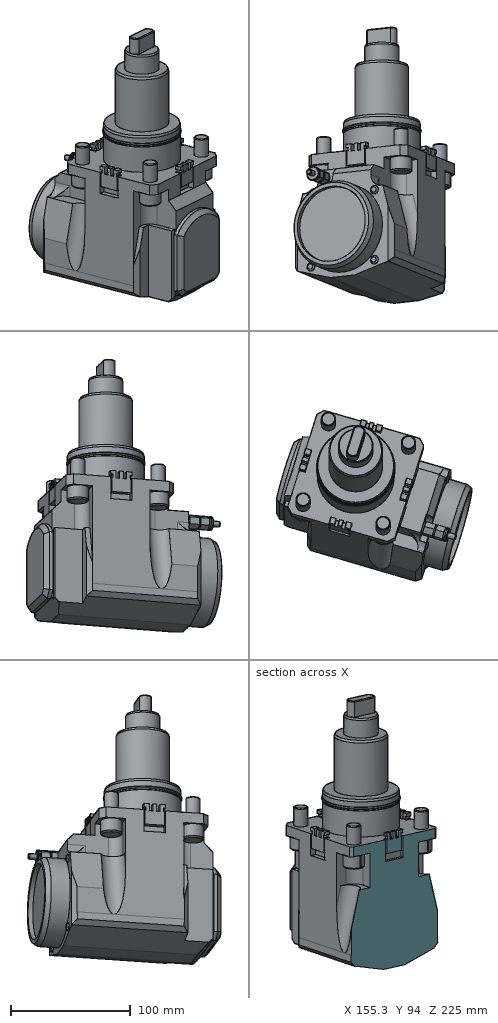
import cadquery as cq
import math

REACH = 200.0

SHANK_STEPS = [
    (32.3, 32.5, 2.0, 0.7),
    (22.5, 81.0, 2.0, 1.0),
    (14.5, 98.0, 1.7, 0.7),
]
TANG_TOP = 112.0
TANG_THICK = 10.0
TANG_HALF_WIDTH = 13.6
TANG_FLAT_HALF_WIDTH = 10.8
TANG_CHAMFER = 0.8
SEAL_RADIUS = 33.0
SEAL_Z = 24.8
SEAL_GROOVE_BOTTOM = 22.6
SEAL_GROOVE_TOP = 25.7
SEAL_GROOVE_DEPTH = 0.6

FLANGE_HALF = 46.75
FLANGE_CORNER = 5.0
FLANGE_THICK = 9.0
SCREW_X = 35.0
SCREW_Y = 36.5
SCREW_RADIUS = 6.0
SCREW_TOP = 16.0
SCREW_CHAMFER = 0.8
SCREW_HEAD_RADIUS = 9.1
SCREW_HEAD_BOTTOM = -20.7
SCREW_HEAD_CHAMFER = 1.2

KEY_SLOT_WIDTH = 18.4
KEY_SLOT_DEPTH = 5.2
KEY_SLOT_BOTTOM = -19.0
KEY_WIDTH = 16.6
KEY_BOTTOM = -12.7
KEY_TOP = 5.5
KEY_HEAD_UNDERSIDE = 2.5
KEY_NECK_WIDTH = 15.0
KEY_NOTCH_WIDTH = 2.9
KEY_NOTCH_OFFSET = 3.1
KEY_NOTCH_BOTTOM = -0.6

BOTTOM = -113.0
BACK_X = -70.5
FRONT_X = 54.5
SHELF_Z = -19.0
BACK_TOP_CHAMFER = 5.4
FRONT_TOP_CHAMFER = FRONT_X - FLANGE_HALF
FRONT_BOTTOM_CHAMFER = 10.0
HOUSING_HALF = 47.0
SIDE_LIP_Z = -94.0
SIDE_CHAMFER = 4.2
LOWER_CORNER_Z = -104.4
KEEL_HALF = 11.5
WIDE_END_X = 29.3
NARROW_HALF = 31.0
NARROW_END_X = 53.3
NECK_HALF = 26.5

POCKET_WALL_X = 25.0
POCKET_RADIUS = 10.0
POCKET_BACK_X = -65.0
BACK_POCKET_FLOOR = -38.6
FRONT_POCKET_FLOOR = -43.4
SLOPE_ANGLE = 15.0
BACK_SLOPE_TOP_Y = 37.85
FRONT_SLOPE_TOP_Y = 38.2
TROUGH_TOP_Y = 42.3

SPINDLE_Z = -72.0
CAP_RADIUS = 37.5
CAP_END_X = -91.0
CAP_CHAMFER_X = 4.3
CAP_CHAMFER_R = 2.2
CAP_RECESS_RADIUS = 32.0
CAP_RECESS_DEPTH = 4.0
CAP_SCREW_SPACING = 60.0
CAP_SCREW_RADIUS = 3.6
CAP_SCREW_HEIGHT = 1.6
CAP_SCREW_CHAMFER = 1.3
COVER_RADIUS = 38.6
COVER_HALF_WIDTH = 29.3
COVER_BOTTOM = -103.2
COVER_END_X = 61.7
COVER_CHAMFER = 4.0

NIPPLE_Y = 20.0
NIPPLE_Z = -26.0
NIPPLE_TIP_X = -93.6
NIPPLE_POCKET_RADIUS = 9.3
NIPPLE_POCKET_Y = 18.7
NIPPLE_POCKET_X = -64.6
NIPPLE_STEM_RADIUS = 2.4
NIPPLE_TIP_CHAMFER = 0.8
NIPPLE_NECK_RADIUS = 4.8
COLLAR_RADIUS = 5.9
COLLAR_START_X = -86.5
COLLAR_END_X = -84.6
COLLAR_CHAMFER = 0.6
HEX_FLATS = 10.4
HEX_CORNERS = HEX_FLATS / math.cos(math.pi / 6)
HEX_SPANS = [(-83.2, -75.8), (-74.6, -66.0)]


def box(x0, x1, y0, y1, z0, z1):
    return cq.Workplane("XY").box(x1 - x0, y1 - y0, z1 - z0, centered=False).translate((x0, y0, z0))


def x_cylinder(radius, x0, x1, y, z):
    return cq.Workplane("YZ", origin=(x0, y, z)).circle(radius).extrude(x1 - x0)


def z_cylinder(radius, z0, z1, x=0.0, y=0.0):
    return cq.Workplane("XY", origin=(x, y, z0)).circle(radius).extrude(z1 - z0)


def both_sides(solid):
    return solid.union(solid.mirror("XZ"))


def make_shank():
    """Stepped shank with a sealed collar at its foot and a flat drive tang on top."""
    collar_radius = SHANK_STEPS[0][0]
    shank = z_cylinder(collar_radius, -FLANGE_THICK, 0)
    base = 0.0
    for radius, top, chamfer_z, chamfer_r in SHANK_STEPS:
        step = z_cylinder(radius, base, top)
        step = step.faces(">Z").chamfer(chamfer_z, chamfer_r)
        shank = shank.union(step)
        base = top

    groove = z_cylinder(SEAL_RADIUS, SEAL_GROOVE_BOTTOM, SEAL_GROOVE_TOP)
    groove = groove.cut(z_cylinder(collar_radius - SEAL_GROOVE_DEPTH, SEAL_GROOVE_BOTTOM, SEAL_GROOVE_TOP))
    seal_section = SEAL_GROOVE_TOP - SEAL_Z
    seal = (
        cq.Workplane("XZ")
        .center(SEAL_RADIUS - seal_section, SEAL_Z)
        .circle(seal_section)
        .revolve(360, (seal_section - SEAL_RADIUS, 0), (seal_section - SEAL_RADIUS, 1))
    )
    tang = (
        cq.Workplane("XY", origin=(0, 0, base))
        .moveTo(-TANG_THICK / 2, -TANG_FLAT_HALF_WIDTH)
        .threePointArc((0, -TANG_HALF_WIDTH), (TANG_THICK / 2, -TANG_FLAT_HALF_WIDTH))
        .lineTo(TANG_THICK / 2, TANG_FLAT_HALF_WIDTH)
        .threePointArc((0, TANG_HALF_WIDTH), (-TANG_THICK / 2, TANG_FLAT_HALF_WIDTH))
        .close()
        .extrude(TANG_TOP - base)
        .faces(">Z")
        .chamfer(TANG_CHAMFER)
    )
    return shank.cut(groove).union(seal).union(tang)


def make_flange():
    flange = box(-FLANGE_HALF, FLANGE_HALF, -FLANGE_HALF, FLANGE_HALF, -FLANGE_THICK, 0)
    return flange.edges("|Z").chamfer(FLANGE_CORNER)


def make_screw(x, y):
    shaft = z_cylinder(SCREW_RADIUS, -FLANGE_THICK, SCREW_TOP, x, y).faces(">Z").chamfer(SCREW_CHAMFER)
    head = z_cylinder(SCREW_HEAD_RADIUS, SCREW_HEAD_BOTTOM, -FLANGE_THICK, x, y)
    return shaft.union(head.faces("<Z").chamfer(SCREW_HEAD_CHAMFER))


def make_side_profile():
    """Housing outline in the XZ plane, extruded to the full width."""
    return (
        cq.Workplane("XZ")
        .moveTo(BACK_X, BOTTOM)
        .lineTo(FRONT_X - FRONT_BOTTOM_CHAMFER, BOTTOM)
        .lineTo(FRONT_X, BOTTOM + FRONT_BOTTOM_CHAMFER)
        .lineTo(FRONT_X, SHELF_Z - FRONT_TOP_CHAMFER)
        .lineTo(FLANGE_HALF, SHELF_Z)
        .lineTo(FLANGE_HALF, -FLANGE_THICK)
        .lineTo(-FLANGE_HALF, -FLANGE_THICK)
        .lineTo(-FLANGE_HALF, SHELF_Z)
        .lineTo(BACK_X + BACK_TOP_CHAMFER, SHELF_Z)
        .lineTo(BACK_X, SHELF_Z - BACK_TOP_CHAMFER)
        .close()
        .extrude(HOUSING_HALF, both=True)
    )


def make_end_profile():
    """Housing outline in the YZ plane, extruded to the full length."""
    half = [
        (KEEL_HALF, BOTTOM),
        (HOUSING_HALF - SIDE_CHAMFER, LOWER_CORNER_Z),
        (HOUSING_HALF, LOWER_CORNER_Z + SIDE_CHAMFER),
        (FLANGE_HALF, SIDE_LIP_Z),
        (FLANGE_HALF, -FLANGE_THICK),
    ]
    mirrored = [(-y, z) for y, z in reversed(half)]
    return (
        cq.Workplane("YZ", origin=(BACK_X, 0, 0))
        .polyline(half + mirrored)
        .close()
        .extrude(FRONT_X - BACK_X)
    )


def make_plan_profile():
    """Wide rear body with chamfered corners, narrower front body, narrow front end."""
    wide = box(BACK_X, WIDE_END_X, -HOUSING_HALF, HOUSING_HALF, BOTTOM, -FLANGE_THICK)
    wide = wide.edges("|Z").chamfer(SIDE_CHAMFER)
    narrow = box(BACK_X, NARROW_END_X, -NARROW_HALF, NARROW_HALF, BOTTOM, -FLANGE_THICK)
    neck = box(BACK_X, FRONT_X, -NECK_HALF, NECK_HALF, BOTTOM, -FLANGE_THICK)
    return wide.union(narrow).union(neck)


def make_slope_cutter(x0, x1, floor, top_y):
    """Wedge that slants the side face outwards going down from a pocket floor."""
    drop = (HOUSING_HALF - top_y) / math.tan(math.radians(SLOPE_ANGLE))
    return (
        cq.Workplane("YZ", origin=(x0, 0, 0))
        .polyline([(top_y, floor), (HOUSING_HALF, floor - drop), (HOUSING_HALF, floor)])
        .close()
        .extrude(x1 - x0)
    )


def make_trough():
    """Slanted U-shaped groove, open outwards, below a rear screw."""
    slope = math.radians(SLOPE_ANGLE)
    section = cq.Plane(
        origin=(-SCREW_X, TROUGH_TOP_Y, BACK_POCKET_FLOOR),
        xDir=(1, 0, 0),
        normal=(0, math.sin(slope), -math.cos(slope)),
    )
    trough = cq.Workplane(section).circle(POCKET_RADIUS).extrude(REACH, both=True)
    opening = (
        cq.Workplane(section)
        .center(0, -REACH / 2)
        .rect(2 * POCKET_RADIUS, REACH)
        .extrude(REACH, both=True)
    )
    below_floor = box(-REACH, 0, 0, REACH, -REACH, BACK_POCKET_FLOOR)
    return trough.union(opening).intersect(below_floor)


def make_back_pocket():
    """Pocket around the rear +Y screw, with its rounded rear opening and slanted run-out."""
    pocket = box(POCKET_BACK_X, -POCKET_WALL_X, NECK_HALF, REACH, BACK_POCKET_FLOOR, -FLANGE_THICK)
    pocket = pocket.edges("|Z and <Y").fillet(POCKET_RADIUS)
    end_opening = box(BACK_X, POCKET_BACK_X + POCKET_RADIUS, NECK_HALF, REACH, BACK_POCKET_FLOOR, -FLANGE_THICK)
    end_opening = end_opening.edges("|X and <Y and <Z").fillet(POCKET_RADIUS)
    slope = make_slope_cutter(BACK_X, -SCREW_X, BACK_POCKET_FLOOR, BACK_SLOPE_TOP_Y)
    return pocket.union(end_opening).union(slope).union(make_trough())


def make_front_pocket():
    """Pocket around the front +Y screw."""
    pocket = box(POCKET_WALL_X, REACH, NECK_HALF, REACH, FRONT_POCKET_FLOOR, -FLANGE_THICK)
    pocket = pocket.edges("|Z and <X and <Y").fillet(POCKET_RADIUS)
    slope = make_slope_cutter(POCKET_WALL_X, FRONT_X, FRONT_POCKET_FLOOR, FRONT_SLOPE_TOP_Y)
    return pocket.union(slope)


def make_nipple_pocket():
    """Rear-face recess around the nipple, open upwards and towards the +Y screw pocket."""
    r = NIPPLE_POCKET_RADIUS
    pocket = x_cylinder(r, BACK_X, NIPPLE_POCKET_X, NIPPLE_POCKET_Y, NIPPLE_Z)
    above = box(BACK_X, NIPPLE_POCKET_X, NIPPLE_POCKET_Y - r, HOUSING_HALF, NIPPLE_Z, SHELF_Z)
    beside = box(BACK_X, NIPPLE_POCKET_X, NIPPLE_POCKET_Y, NECK_HALF + POCKET_RADIUS, NIPPLE_Z - r, NIPPLE_Z)
    return pocket.union(above).union(beside)


def make_housing():
    housing = make_side_profile().intersect(make_end_profile()).intersect(make_plan_profile())
    pockets = make_back_pocket().union(make_front_pocket())
    return housing.cut(both_sides(pockets)).cut(make_nipple_pocket())


def make_cap():
    """Round spindle cap with a shallow recess, held by four small screws."""
    cap = x_cylinder(CAP_RADIUS, CAP_END_X, BACK_X, 0, SPINDLE_Z)
    cap = cap.faces("<X").chamfer(CAP_CHAMFER_X, CAP_CHAMFER_R)
    recess = x_cylinder(CAP_RECESS_RADIUS, CAP_END_X, CAP_END_X + CAP_RECESS_DEPTH, 0, SPINDLE_Z)
    cap = cap.cut(recess)

    offset = CAP_SCREW_SPACING / 2
    for y in (-offset, offset):
        for z in (SPINDLE_Z - offset, SPINDLE_Z + offset):
            screw = x_cylinder(CAP_SCREW_RADIUS, BACK_X - CAP_SCREW_HEIGHT, BACK_X, y, z)
            cap = cap.union(screw.faces("<X").chamfer(CAP_SCREW_CHAMFER))
    return cap


def make_cover():
    """Round front cover with two side flats, a flat bottom and a chamfered rim."""
    cover = x_cylinder(COVER_RADIUS, FRONT_X, COVER_END_X, 0, SPINDLE_Z)
    trim = box(FRONT_X, COVER_END_X, -COVER_HALF_WIDTH, COVER_HALF_WIDTH, COVER_BOTTOM, SHELF_Z)
    return cover.intersect(trim).faces(">X").chamfer(COVER_CHAMFER)


def make_nipple():
    """Stem, round collar and two hexagons separated by narrow necks."""
    stem = x_cylinder(NIPPLE_STEM_RADIUS, NIPPLE_TIP_X, NIPPLE_POCKET_X, NIPPLE_Y, NIPPLE_Z)
    stem = stem.faces("<X").chamfer(NIPPLE_TIP_CHAMFER)
    core = x_cylinder(NIPPLE_NECK_RADIUS, COLLAR_START_X, NIPPLE_POCKET_X, NIPPLE_Y, NIPPLE_Z)
    collar = x_cylinder(COLLAR_RADIUS, COLLAR_START_X, COLLAR_END_X, NIPPLE_Y, NIPPLE_Z)
    collar = collar.faces("<X").chamfer(COLLAR_CHAMFER)
    nipple = stem.union(core).union(collar)
    for start, end in HEX_SPANS:
        hexagon = (
            cq.Workplane("YZ", origin=(start, NIPPLE_Y, NIPPLE_Z))
            .transformed(rotate=(0, 0, 90))
            .polygon(6, HEX_CORNERS)
            .extrude(end - start)
        )
        nipple = nipple.union(hexagon)
    return nipple


def make_key_slot():
    """Slot for the key on the -Y side."""
    half = KEY_SLOT_WIDTH / 2
    return box(-half, half, -REACH, KEY_SLOT_DEPTH - FLANGE_HALF, KEY_SLOT_BOTTOM, 0)


def make_key():
    """Key on the -Y side with a T-shaped, twice-notched head."""
    y0 = -FLANGE_HALF
    y1 = KEY_SLOT_DEPTH - FLANGE_HALF
    key = box(-KEY_WIDTH / 2, KEY_WIDTH / 2, y0, y1, KEY_BOTTOM, 0)
    key = key.union(box(-KEY_NECK_WIDTH / 2, KEY_NECK_WIDTH / 2, y0, y1, 0, KEY_HEAD_UNDERSIDE))
    head_half = KEY_SLOT_WIDTH / 2
    key = key.union(box(-head_half, head_half, y0, y1, KEY_HEAD_UNDERSIDE, KEY_TOP))
    for x in (-KEY_NOTCH_OFFSET, KEY_NOTCH_OFFSET):
        half = KEY_NOTCH_WIDTH / 2
        key = key.cut(box(x - half, x + half, y0, y1, KEY_NOTCH_BOTTOM, KEY_TOP))
    return key


result = make_housing().union(make_flange()).union(make_shank())
for quarter_turn in range(4):
    turn = 90 * quarter_turn
    result = result.cut(make_key_slot().rotate((0, 0, 0), (0, 0, 1), turn))
    result = result.union(make_key().rotate((0, 0, 0), (0, 0, 1), turn))
for screw_x in (-SCREW_X, SCREW_X):
    for screw_y in (-SCREW_Y, SCREW_Y):
        result = result.union(make_screw(screw_x, screw_y))
result = result.union(make_cap()).union(make_cover()).union(make_nipple())